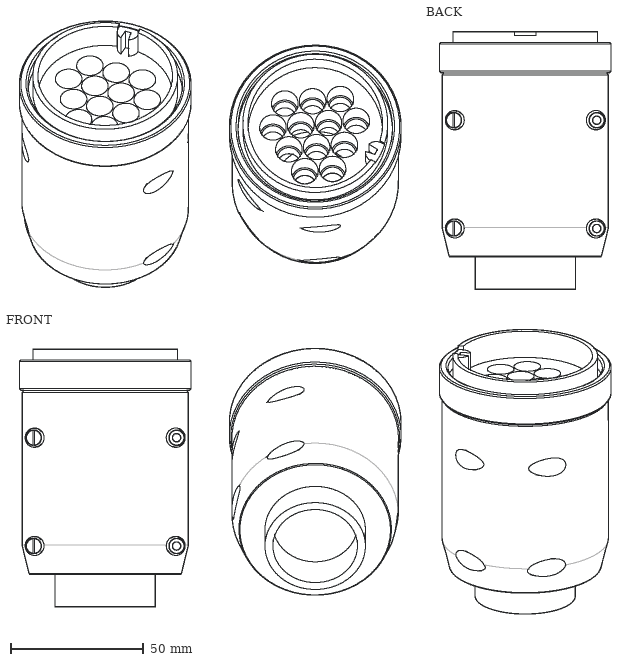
import cadquery as cq
import math

total_height = 97.5
neck_diameter = 38.0
cable_bore_diameter = 32.0
neck_height = 12.2

body_diameter = 63.0
taper_end_diameter = 57.7
taper_top_z = 23.3
body_top_z = 81.9
body_top_chamfer = 0.8
taper_end_chamfer = 0.4

ring_diameter = 65.0
ring_bore_diameter = 58.4
ring_top_z = 93.4
ring_chamfer = 0.6
ring_bore_chamfer = 0.8

tube_outer_diameter = 54.8
tube_inner_diameter = 50.9
tube_floor_z = 86.9
gap_floor_z = 88.2

chamber_diameter = 45.0
chamber_floor_z = 15.6
insert_thickness = 19.5

contact_pitch = 10.5
contact_diameter = 10.0
contact_through_diameter = 8.8
contact_counterbore_depth = 11.7
contact_row_counts = (3, 4, 3, 2)

key_radius = 4.1
key_top_z = 96.0
key_groove_bottom_width = 2.2
key_groove_mouth_width = 3.2

screw_offset_x = 27.0
screw_heights = (23.0, 64.0)
pocket_floor_y = 2.4
pocket_floor_diameter = 5.85
pocket_draft_angle = 3.0
screw_head_diameter = 5.6
screw_head_height = 1.5
screw_slot_width = 0.6
screw_slot_depth = 0.7
screw_diameter = 3.0
nut_diameter = 5.6
nut_height = 1.5
nut_hole_diameter = 3.2


def cylinder(diameter, bottom_z, top_z):
    return cq.Workplane("XY").workplane(offset=bottom_z).circle(diameter / 2).extrude(top_z - bottom_z)


def make_shell():
    """Revolve neck, tapered body and coupling ring as one solid."""
    neck_r = neck_diameter / 2
    body_r = body_diameter / 2
    taper_r = taper_end_diameter / 2
    ring_r = ring_diameter / 2
    profile = [
        (0, 0),
        (neck_r, 0),
        (neck_r, neck_height),
        (taper_r - taper_end_chamfer, neck_height),
        (taper_r, neck_height + taper_end_chamfer),
        (body_r, taper_top_z),
        (body_r, body_top_z - body_top_chamfer),
        (body_r - body_top_chamfer, body_top_z),
        (ring_r - ring_chamfer, body_top_z),
        (ring_r, body_top_z + ring_chamfer),
        (ring_r, ring_top_z - ring_chamfer),
        (ring_r - ring_chamfer, ring_top_z),
        (0, ring_top_z),
    ]
    return cq.Workplane("XZ").polyline(profile).close().revolve(360, (0, 0), (0, 1))


def make_ring_bore():
    """Bore of the ring with a chamfered mouth."""
    ring_bore_r = ring_bore_diameter / 2
    profile = [
        (0, gap_floor_z),
        (ring_bore_r, gap_floor_z),
        (ring_bore_r, ring_top_z - ring_bore_chamfer),
        (ring_bore_r + ring_bore_chamfer, ring_top_z),
        (0, ring_top_z),
    ]
    return cq.Workplane("XZ").polyline(profile).close().revolve(360, (0, 0), (0, 1))


def make_key():
    """Half-round key on the tube wall, split by a flared groove."""
    tube_inner_r = tube_inner_diameter / 2
    key_height = key_top_z - tube_floor_z
    floor_plane = cq.Workplane("XY").workplane(offset=tube_floor_z)
    key = floor_plane.center(0, tube_inner_r).circle(key_radius).extrude(key_height)
    key = key.intersect(cylinder(tube_outer_diameter, tube_floor_z, key_top_z))
    groove_mouth_y = tube_inner_r - key_radius
    groove = (
        floor_plane.polyline([
            (-key_groove_bottom_width / 2, tube_inner_r),
            (key_groove_bottom_width / 2, tube_inner_r),
            (key_groove_mouth_width / 2, groove_mouth_y),
            (-key_groove_mouth_width / 2, groove_mouth_y),
        ]).close().extrude(key_height)
    )
    return key.cut(groove)


def add_mating_tube(part):
    """Tube standing in the ring, closed by the insert face, its rim notched above the key."""
    part = part.union(cylinder(tube_outer_diameter, gap_floor_z, total_height))
    part = part.cut(cylinder(tube_inner_diameter, tube_floor_z, total_height))
    notch = (
        cq.Workplane("XY").workplane(offset=key_top_z)
        .center(0, tube_outer_diameter / 2)
        .rect(2 * key_radius, 2 * key_radius)
        .extrude(total_height - key_top_z)
    )
    return part.cut(notch).union(make_key())


def contact_positions():
    row_spacing = contact_pitch * math.sqrt(3) / 2
    top_row_y = row_spacing + contact_pitch / (2 * math.sqrt(3))
    return [
        ((column - (count - 1) / 2) * contact_pitch, top_row_y - row * row_spacing)
        for row, count in enumerate(contact_row_counts)
        for column in range(count)
    ]


def make_contact_holes():
    """Stepped holes through the insert, from its face to the chamber."""
    face = cq.Workplane("XY").workplane(offset=tube_floor_z).pushPoints(contact_positions())
    counterbores = face.circle(contact_diameter / 2).extrude(-contact_counterbore_depth)
    through_holes = face.circle(contact_through_diameter / 2).extrude(-insert_thickness)
    return counterbores.union(through_holes)


def disc_along_y(diameter, x, z, start_y, depth, taper=0):
    """Disc extruded from start_y towards -Y; a negative taper widens it."""
    plane = cq.Workplane("XZ", origin=(x, -start_y, z))
    return plane.circle(diameter / 2).extrude(depth, taper=taper)


def make_pocket(x, z):
    depth = body_diameter / 2 - pocket_floor_y
    return disc_along_y(pocket_floor_diameter, x, z, pocket_floor_y, depth, -pocket_draft_angle)


def make_screw_head(x, z):
    head = disc_along_y(screw_head_diameter, x, z, pocket_floor_y, screw_head_height)
    slot_centre_y = -(pocket_floor_y + screw_head_height - screw_slot_depth / 2)
    slot = (
        cq.Workplane("XY").box(screw_slot_width, screw_slot_depth, screw_head_diameter)
        .translate((x, slot_centre_y, z))
    )
    return head.cut(slot)


def make_nut_with_screw_tip(x, z):
    """Round nut with the screw end inside it, a thin ring-shaped gap between them."""
    nut = disc_along_y(nut_diameter, x, z, pocket_floor_y, nut_height)
    nut = nut.cut(disc_along_y(nut_hole_diameter, x, z, pocket_floor_y, nut_height))
    return nut.union(disc_along_y(screw_diameter, x, z, pocket_floor_y, nut_height))


def add_clamp_screws(part):
    """Two screw heads face -Y and two face +Y, each with its nut on the opposite side."""
    for z in screw_heights:
        for turn in (0, 180):
            def turned(shape):
                return shape.rotate((0, 0, 0), (0, 0, 1), turn)

            part = part.cut(turned(make_pocket(-screw_offset_x, z)))
            part = part.cut(turned(make_pocket(screw_offset_x, z)))
            part = part.union(turned(make_screw_head(-screw_offset_x, z)))
            part = part.union(turned(make_nut_with_screw_tip(screw_offset_x, z)))
    return part


shell = add_mating_tube(make_shell().cut(make_ring_bore()))
shell = shell.cut(cylinder(cable_bore_diameter, 0, chamber_floor_z))
shell = shell.cut(cylinder(chamber_diameter, chamber_floor_z, tube_floor_z - insert_thickness))
shell = shell.cut(make_contact_holes())
result = add_clamp_screws(shell)